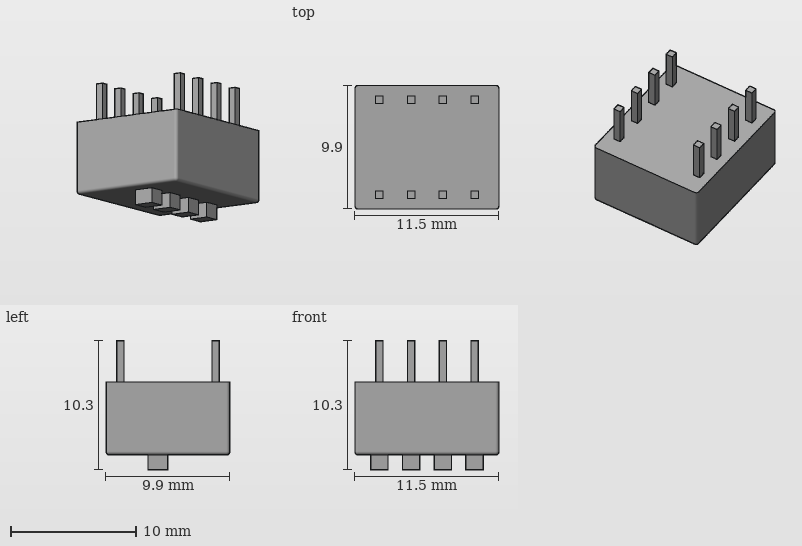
import cadquery as cq

LENGTH = 11.52
WIDTH = 9.9
HEIGHT = 5.85
EDGE_RADIUS = 0.25

POSITIONS = 4
PITCH = 2.53
ROW_SPACING = 7.61

PIN_SIDE = 0.6
PIN_LENGTH = 3.3

KNOB_LENGTH = 1.4
KNOB_WIDTH = 1.6
KNOB_HEIGHT = 1.2


def position_x(index):
    """X of one switch position, with the row centred on the housing."""
    return (index - (POSITIONS - 1) / 2) * PITCH


def make_housing():
    """Rounded block with four slider knobs standing out of its underside."""
    body = (
        cq.Workplane("XY")
        .box(LENGTH, WIDTH, HEIGHT, centered=(True, True, False))
        .edges("|Z or <Z")
        .fillet(EDGE_RADIUS)
    )
    knobs = (
        cq.Workplane("XY")
        .pushPoints([(position_x(i), KNOB_WIDTH / 2) for i in range(POSITIONS)])
        .rect(KNOB_LENGTH, KNOB_WIDTH)
        .extrude(-KNOB_HEIGHT)
    )
    return body.union(knobs)


def make_pin(x, y):
    """Square terminal pin standing on the top face of the housing."""
    return (
        cq.Workplane("XY", origin=(x, y, HEIGHT))
        .rect(PIN_SIDE, PIN_SIDE)
        .extrude(PIN_LENGTH)
    )


housing = make_housing()
pins = [
    make_pin(position_x(i), side * ROW_SPACING / 2)
    for side in (-1, 1)
    for i in range(POSITIONS)
]

result = cq.Compound.makeCompound([housing.val(), *[pin.val() for pin in pins]])